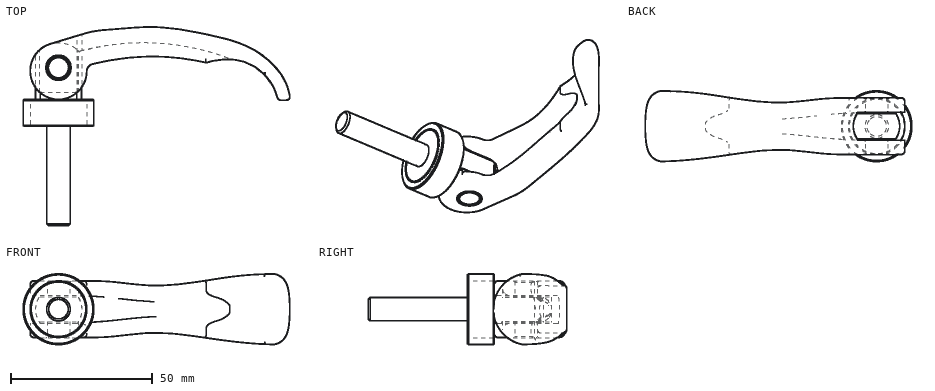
import cadquery as cq
import math


collar_diameter = 25.0
collar_height = 9.5
hub_diameter = 20.0
edge_chamfer = 0.4
stud_diameter = 8.3
stud_length = 35.0
stud_chamfer = 0.7
post_diameter = 16.3
post_width = 8.85
post_base_width = 10.0
post_base_height = 2.45

cam_radius = 10.0
cam_y = cam_radius
fork_width = 20.0
slot_width = post_base_width
slot_end_radius = 8.2
pivot_offset = 1.15
pivot_y = cam_y + pivot_offset
pin_diameter = 8.0
pin_chamfer = 0.45

back_slope = math.radians(16.9)
back_direction = (math.cos(back_slope), math.sin(back_slope))
back_line_length = 13.3
back_start = (-cam_radius * back_direction[1], cam_y + cam_radius * back_direction[0])
back_end = (
    back_start[0] + back_line_length * back_direction[0],
    back_start[1] + back_line_length * back_direction[1],
)
back_curve = [(20.5, 24.82), (32.0, 25.58), (52.4, 22.9), (69.7, 17.0), (78.3, 9.1), (82.02, -2.0)]
back_end_direction = (0.1, -1)

scoop_end = (77.5, -2.0)
scoop_curve = [(72.5, 8.8), (65.5, 13.2), (58.4, 14.05)]
rail_end = (52.1, 12.9)
rail_crest = (33.4, 15.1)
rail_start = (cam_radius, 11.85)
throat_radius = 2.6

flank_end_x = 12.6
waist = (33.0, 8.35)
flare = (rail_end[0], 10.15)
paddle_end = (78.5, 12.5)
paddle_tip_y = -0.35
paddle_tip_radius = 12.7
paddle_tip_start_x = 60.0
lever_edge_fillet = 1.3

groove_start = (7.0, 4.7)
groove_waist = [(21.7, 3.7), (33.0, 2.65), (45.0, 3.2), (rail_end[0], 4.3)]
groove_end = (60.4, 2.2)
groove_floor_start_y = 17.0
groove_floor_crest = (33.0, 20.0)
groove_floor_end_y = 14.4
groove_floor_fillet = 2.2
rail_fillet = 2.4

position_tolerance = 0.5
tool_size = 60.0


def mirrored(points):
    """The given (X, Z) points on the other side of Z = 0, in reverse order."""
    return [(x, -z) for x, z in reversed(points)]


def z_reach(edge):
    """Greatest distance of an edge from the plane Z = 0."""
    box = edge.BoundingBox()
    return max(abs(box.zmin), abs(box.zmax))


def on_one_side(edge):
    """True when an edge stays above or below the plane Z = 0."""
    box = edge.BoundingBox()
    return box.zmin * box.zmax > 0


def side_profile():
    """Cam disc running into the curved arm, extruded across the full width."""
    return (
        cq.Workplane("XY", origin=(0, 0, -tool_size))
        .moveTo(*back_start)
        .lineTo(*back_end)
        .spline(back_curve, tangents=[back_direction, back_end_direction], includeCurrent=True)
        .lineTo(*scoop_end)
        .spline(scoop_curve + [rail_end], includeCurrent=True)
        .threePointArc(rail_crest, rail_start)
        .lineTo(cam_radius, cam_y)
        .threePointArc((0, cam_y - cam_radius), back_start)
        .close()
        .extrude(2 * tool_size)
        .edges(cq.selectors.NearestToPointSelector((*rail_start, 0)))
        .fillet(throat_radius)
    )


def plan_outline():
    """Straight fork flanks, waisted arm and flared paddle, extruded along Y."""
    half_fork = fork_width / 2
    fork_start_x = -2 * cam_radius
    upper = [waist, flare, paddle_end]
    lower = mirrored([(flank_end_x, half_fork), waist, flare])
    return (
        cq.Workplane("XZ", origin=(0, tool_size, 0))
        .moveTo(fork_start_x, half_fork)
        .lineTo(flank_end_x, half_fork)
        .spline(upper, tangents=[(1, 0), (1, 0)], includeCurrent=True)
        .lineTo(paddle_end[0] + cam_radius, paddle_end[1])
        .lineTo(paddle_end[0] + cam_radius, -paddle_end[1])
        .lineTo(paddle_end[0], -paddle_end[1])
        .spline(lower, tangents=[(-1, 0), (-1, 0)], includeCurrent=True)
        .lineTo(fork_start_x, -half_fork)
        .close()
        .extrude(2 * tool_size)
    )


def tip_waste():
    """Material outside the half-round end of the paddle, cut along X."""
    radius = paddle_tip_radius
    center_y = paddle_tip_y + radius
    return (
        cq.Workplane("YZ", origin=(paddle_tip_start_x, 0, 0))
        .moveTo(center_y, radius)
        .threePointArc((paddle_tip_y, 0), (center_y, -radius))
        .lineTo(paddle_tip_y - radius, -radius)
        .lineTo(paddle_tip_y - radius, radius)
        .close()
        .extrude(tool_size)
    )


def groove_tool():
    """Waisted channel with an arched floor, open towards -Y."""
    plan = (
        cq.Workplane("XZ", origin=(0, tool_size, 0))
        .moveTo(*groove_start)
        .spline(groove_waist + [groove_end], includeCurrent=True)
        .lineTo(groove_end[0], -groove_end[1])
        .spline(mirrored([groove_start] + groove_waist), includeCurrent=True)
        .close()
        .extrude(2 * tool_size)
    )
    floor = (
        cq.Workplane("XY", origin=(0, 0, -cam_radius))
        .moveTo(groove_start[0], groove_floor_start_y)
        .threePointArc(groove_floor_crest, (groove_end[0], groove_floor_end_y))
        .lineTo(groove_end[0], 0)
        .lineTo(groove_start[0], 0)
        .close()
        .extrude(2 * cam_radius)
    )
    tool = plan.intersect(floor)
    floor_edges = [
        edge for edge in tool.edges().vals()
        if on_one_side(edge) and edge.BoundingBox().ymin > 0 and edge.Length() > fork_width
    ]
    return tool.newObject(floor_edges).fillet(groove_floor_fillet)


def is_outer_edge(edge):
    """Edges along both flanks and around the end of the paddle."""
    box = edge.BoundingBox()
    return on_one_side(edge) or box.xmin > rail_end[0] + position_tolerance


def is_rail_edge(edge):
    """Edges where the groove walls meet the rails of the arm."""
    box = edge.BoundingBox()
    along_arm = box.xmax < rail_end[0] + position_tolerance and edge.Length() > fork_width
    on_underside = box.ymax < rail_crest[1] + position_tolerance
    beside_groove = box.xmin > 0 and z_reach(edge) < slot_width / 2
    return on_one_side(edge) and along_arm and on_underside and beside_groove


def fork_slot():
    """Slot between the fork arms, ending in a hollow round about the stud axis."""
    end = cq.Workplane("XZ", origin=(0, tool_size, 0)).circle(slot_end_radius).extrude(2 * tool_size)
    mouth = (
        cq.Workplane("XY")
        .box(2 * cam_radius, 2 * tool_size, slot_width)
        .translate((-cam_radius, 0, 0))
    )
    return end.intersect(cq.Workplane("XY").box(tool_size, 2 * tool_size, slot_width)).union(mouth)


def pivot_cylinder(diameter):
    return (
        cq.Workplane("XY", origin=(0, pivot_y, -fork_width / 2))
        .circle(diameter / 2)
        .extrude(fork_width)
    )


def pin_bore():
    """Bore through both fork arms with countersunk mouths."""
    bore = pivot_cylinder(pin_diameter)
    for side in (-1, 1):
        mouth = cq.Solid.makeCone(
            pin_diameter / 2 + pin_chamfer, pin_diameter / 2, pin_chamfer,
            cq.Vector(0, pivot_y, side * fork_width / 2), cq.Vector(0, 0, -side),
        )
        bore = bore.union(cq.Workplane(mouth))
    return bore


def make_lever():
    blank = side_profile().intersect(plan_outline()).cut(tip_waste())
    outer_edges = [edge for edge in blank.edges().vals() if is_outer_edge(edge)]
    arm = blank.newObject(outer_edges).fillet(lever_edge_fillet).cut(groove_tool())
    rail_edges = [edge for edge in arm.edges().vals() if is_rail_edge(edge)]
    arm = arm.newObject(rail_edges).fillet(rail_fillet)
    return arm.cut(fork_slot()).cut(pin_bore())


def make_collar():
    """Ring around the hub of the stud."""
    ring = cq.Workplane("XZ").circle(collar_diameter / 2).extrude(collar_height)
    ring = ring.faces("<Y or >Y").edges().chamfer(edge_chamfer)
    return ring.cut(cq.Workplane("XZ").circle(hub_diameter / 2).extrude(collar_height))


def make_clamp_stud():
    """Shank, hub, flattened post with a wider base and a round head, and the pivot pin."""
    hub = (
        cq.Workplane("XZ").circle(hub_diameter / 2).extrude(collar_height)
        .faces("<Y").edges().chamfer(edge_chamfer)
    )
    shank = (
        cq.Workplane("XZ", origin=(0, -collar_height, 0)).circle(stud_diameter / 2).extrude(stud_length)
        .faces("<Y").edges().chamfer(stud_chamfer)
    )
    post_outline = (
        cq.Workplane("XY", origin=(0, 0, -post_width / 2))
        .moveTo(-cam_radius, 0)
        .lineTo(-cam_radius, cam_y)
        .threePointArc((0, cam_y + cam_radius), (cam_radius, cam_y))
        .lineTo(cam_radius, 0)
        .close()
        .extrude(post_width)
    )
    base_outline = (
        cq.Workplane("XY")
        .box(2 * cam_radius, post_base_height, post_base_width)
        .translate((0, post_base_height / 2, 0))
    )
    post_round = cq.Workplane("XZ").circle(post_diameter / 2).extrude(-tool_size)
    post = post_round.intersect(post_outline.union(base_outline))
    pin = pivot_cylinder(pin_diameter).faces("<Z or >Z").edges().chamfer(pin_chamfer)
    return hub.union(shank).union(post).union(pin)


lever = make_lever()
collar = make_collar()
clamp_stud = make_clamp_stud()

result = cq.Compound.makeCompound([lever.solids().val(), collar.solids().val(), clamp_stud.solids().val()])